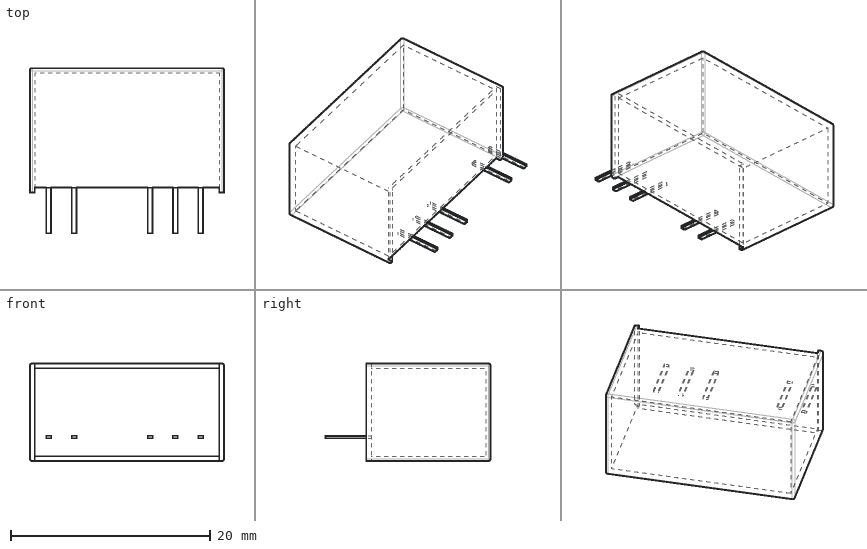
import cadquery as cq

housing_width = 19.5
housing_depth = 12.5
housing_height = 9.8
wall = 0.5
edge_radius = 0.25
rim_setback = 0.5

pin_width = 0.5
pin_thickness = 0.25
pin_reach = 4.1
pin_pitch = 2.54
pin_slots = [0, 1, 4, 5, 6]
first_pin_x = -7.85
pin_z = 2.4

cavity_width = housing_width - 2 * wall
cavity_height = housing_height - 2 * wall
fill_depth = housing_depth - wall - rim_setback
pin_length = pin_reach + rim_setback


def box_from_front(width, depth, height):
    """Box centred on X, with its front face at Y = 0 and its underside at Z = 0."""
    return cq.Workplane("XY").box(width, depth, height, centered=(True, False, False))


def make_housing():
    """Rounded shell with a front cavity and set-back top and bottom rims."""
    outer = box_from_front(housing_width, housing_depth, housing_height)
    front_edges = outer.faces("<Y").edges().vals()
    round_edges = [
        edge for edge in outer.edges().vals()
        if not any(edge.isSame(front_edge) for front_edge in front_edges)
    ]
    shell = outer.newObject(round_edges).fillet(edge_radius)
    cavity = box_from_front(cavity_width, housing_depth - wall, cavity_height).translate((0, 0, wall))
    rim_notch = box_from_front(cavity_width, rim_setback, housing_height)
    return shell.cut(cavity).cut(rim_notch)


def make_fill():
    """Block of potting that fills the cavity, flush with the set-back rims."""
    return box_from_front(cavity_width, fill_depth, cavity_height).translate((0, rim_setback, wall))


def make_pin(slot):
    """Flat pin standing forward from the face of the potting."""
    pin_x = first_pin_x + slot * pin_pitch
    pin_bottom = pin_z - pin_thickness / 2
    return box_from_front(pin_width, pin_length, pin_thickness).translate((pin_x, -pin_reach, pin_bottom))


housing = make_housing()
fill = make_fill()
pins = [make_pin(slot) for slot in pin_slots]

result = cq.Compound.makeCompound([housing.val(), fill.val(), *[pin.val() for pin in pins]])